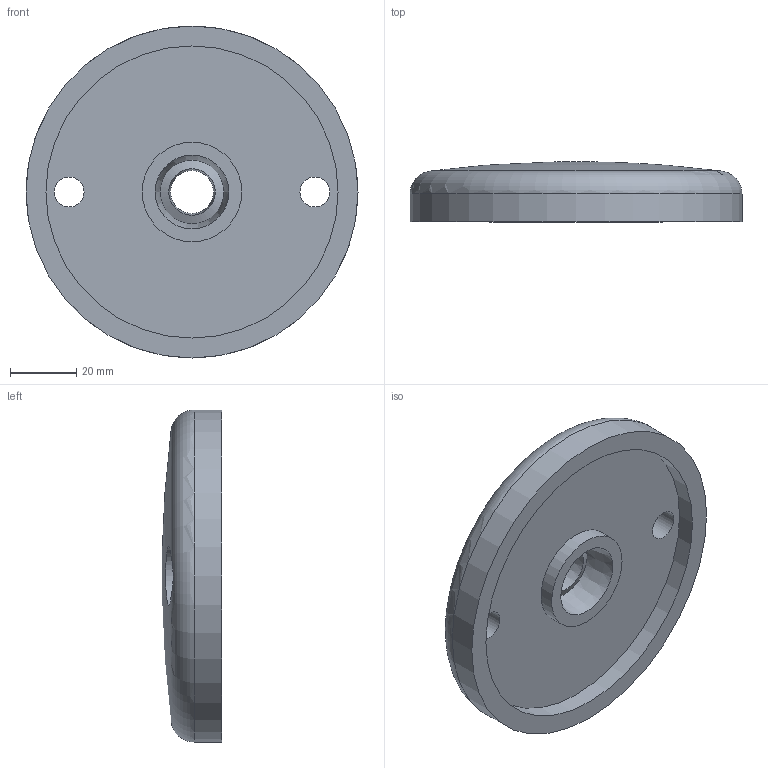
import cadquery as cq
import math

disc_radius = 50.0
disc_height = 18.0
dome_radius = 350.0
shoulder_radius = 7.0

recess_radius = 44.0
recess_depth = 5.5
hub_radius = 15.0
hub_face = 1.0

socket_mouth_radius = 11.1
socket_floor_radius = 9.6
socket_depth = 9.5
floor_slope = 0.4
bore_start_radius = 7.0
bore_end_radius = 6.5

screw_offset = 37.0
screw_hole_diameter = 9.0
counterbore_diameter = 18.0
counterbore_floor = 12.0

clearance = 1.0
cut_top = disc_height + clearance


def make_disc():
    """Revolved disc: domed crown, rounded shoulder, ring recess, hub and tapered socket."""
    bore_edge_angle = math.asin(bore_end_radius / dome_radius)
    dome_center = disc_height - dome_radius * math.cos(bore_edge_angle)
    shoulder_center_r = disc_radius - shoulder_radius
    shoulder_reach = dome_radius - shoulder_radius
    shoulder_center_y = dome_center + math.sqrt(shoulder_reach**2 - shoulder_center_r**2)
    dome_edge_angle = math.asin(shoulder_center_r / shoulder_reach)
    dome_middle_angle = (bore_edge_angle + dome_edge_angle) / 2
    shoulder_middle_angle = (dome_edge_angle + math.pi / 2) / 2

    def on_dome(angle):
        return (dome_radius * math.sin(angle), dome_center + dome_radius * math.cos(angle))

    shoulder_middle = (
        shoulder_center_r + shoulder_radius * math.sin(shoulder_middle_angle),
        shoulder_center_y + shoulder_radius * math.cos(shoulder_middle_angle),
    )

    socket_floor_y = hub_face + socket_depth
    bore_start_y = socket_floor_y - floor_slope * (socket_floor_radius - bore_start_radius)

    profile = (
        cq.Workplane("XY")
        .moveTo(recess_radius, 0)
        .lineTo(disc_radius, 0)
        .lineTo(disc_radius, shoulder_center_y)
        .threePointArc(shoulder_middle, on_dome(dome_edge_angle))
        .threePointArc(on_dome(dome_middle_angle), on_dome(bore_edge_angle))
        .lineTo(bore_start_radius, bore_start_y)
        .lineTo(socket_floor_radius, socket_floor_y)
        .lineTo(socket_mouth_radius, hub_face)
        .lineTo(hub_radius, hub_face)
        .lineTo(hub_radius, recess_depth)
        .lineTo(recess_radius, recess_depth)
        .close()
    )
    return profile.revolve(360, (0, 0, 0), (0, 1, 0))


def cylinder_along_y(radius, start, end, x):
    """Cylinder parallel to Y between two Y positions."""
    axis = cq.Vector(0, 1, 0)
    return cq.Workplane(cq.Solid.makeCylinder(radius, end - start, cq.Vector(x, start, 0), axis))


def make_screw_hole(x):
    """Through hole with a counterbore sunk from the crown."""
    hole = cylinder_along_y(screw_hole_diameter / 2, 0, cut_top, x)
    return hole.union(cylinder_along_y(counterbore_diameter / 2, counterbore_floor, cut_top, x))


result = make_disc()
for hole_x in (-screw_offset, screw_offset):
    result = result.cut(make_screw_hole(hole_x))